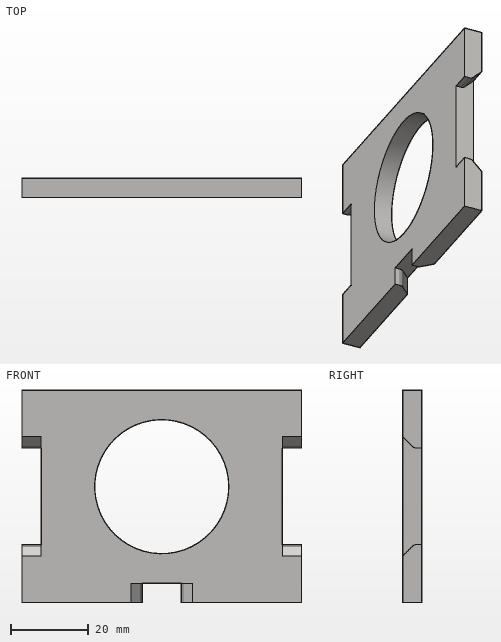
import cadquery as cq
import math

width = 72.5
thickness = 5.0
height = 55.0

window_diameter = 34.65
window_height = 30.0

notch_depth = 5.0
chamfer = 3.0
corner_radius = 1.5
side_notch_bottom = 15.0
side_notch_top = 40.0
bottom_notch_width = 10.0


def notch_profile(plane, start, end):
    """Notch section: local x runs across the notch, local y runs through the plate."""
    tangent_length = corner_radius * math.tan(math.radians(22.5))
    bevel_offset = tangent_length * math.cos(math.radians(45))
    bevel_end = chamfer - bevel_offset
    wall_start = chamfer + tangent_length
    return (
        cq.Workplane(plane)
        .moveTo(start - chamfer, 0)
        .lineTo(start - bevel_offset, bevel_end)
        .tangentArcPoint((start, wall_start), relative=False)
        .lineTo(start, thickness)
        .lineTo(end, thickness)
        .lineTo(end, wall_start)
        .tangentArcPoint((end + bevel_offset, bevel_end), relative=False)
        .lineTo(end + chamfer, 0)
        .close()
    )


result = cq.Workplane("XY").box(width, thickness, height, centered=(True, False, False))

window = (
    cq.Workplane("XZ")
    .center(0, window_height)
    .circle(window_diameter / 2)
    .extrude(-thickness)
)
result = result.cut(window)

side_plane = cq.Plane(origin=(notch_depth - width / 2, 0, 0), xDir=(0, 0, 1), normal=(-1, 0, 0))
left_notch = notch_profile(side_plane, side_notch_bottom, side_notch_top).extrude(notch_depth)
result = result.cut(left_notch).cut(left_notch.mirror("YZ"))

bottom_notch = notch_profile("XY", -bottom_notch_width / 2, bottom_notch_width / 2).extrude(notch_depth)
result = result.cut(bottom_notch)